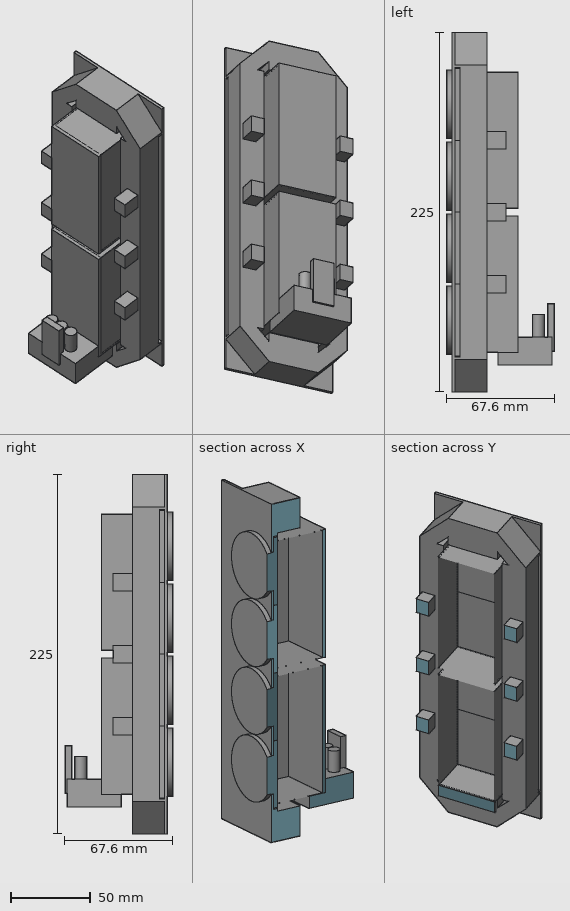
import cadquery as cq

LENGTH = 225.0
WIDTH = 75.0
PLATE_THICK = 2.0
BLOCK_DEPTH = 20.0
CORNER_CUT = 20.2

MODULE_COUNT = 4
MODULE_PITCH = 45.0
BASE_THICK = 3.0
BASE_WIDTH = 43.2
LENS_DIAMETER = 43.0
LENS_PROUD = 3.4

WINDOW_WIDTH = 41.5
SLOT_CLEARANCE = 0.5
SLOT_LENGTH = MODULE_COUNT * MODULE_PITCH + 2 * SLOT_CLEARANCE
POCKET_LENGTH = 184.5
POCKET_HEEL_X = 25.2
POCKET_TIP_X = 17.3
POCKET_TIP_RISE = 7.6

LUG_WIDTH = 9.0
LUG_HEIGHT = 10.8
LUG_DEPTH = 12.0
LUG_SPACING_X = 62.0
LUG_ROWS = 3

DRIVER_WIDTH = 40.0
DRIVER_HEIGHT = 85.3
DRIVER_PITCH = 2 * MODULE_PITCH
DRIVER_PROUD = 19.4
DRIVER_WALL = 0.7
DRIVER_FRONT_WALL = 2.7

CONNECTOR_WIDTH = DRIVER_WIDTH
CONNECTOR_GAP = 6.8
CONNECTOR_DEPTH = 34.0
CONNECTOR_BOTTOM = -95.6
CONNECTOR_HEIGHT = 17.5
WIRE_COUNT = 3
WIRE_DIAMETER = 7.6
WIRE_PITCH = 8.0
WIRE_HEIGHT = 14.2
WIRE_SETBACK = 8.5
TAB_WIDTH = 14.5
TAB_HEIGHT = 30.0
TAB_BOTTOM = -87.0
TAB_THICK = 4.3
TAB_PROUD = 1.4

PLATE_FRONT = -PLATE_THICK
BASE_FRONT = PLATE_FRONT - BASE_THICK
BLOCK_FRONT = PLATE_FRONT - BLOCK_DEPTH
DRIVER_FRONT = BLOCK_FRONT - DRIVER_PROUD
CONNECTOR_BACK = BLOCK_FRONT - CONNECTOR_GAP
CONNECTOR_FRONT = CONNECTOR_BACK - CONNECTOR_DEPTH
LOWER_DRIVER_Z = -DRIVER_PITCH / 2
UPPER_DRIVER_Z = DRIVER_PITCH / 2
MODULE_HEIGHTS = [(i - (MODULE_COUNT - 1) / 2) * MODULE_PITCH for i in range(MODULE_COUNT)]


def slab(width, height, y_back, y_front, x=0.0, z=0.0):
    """Box centred on (x, z), reaching from y_back forwards to y_front."""
    return cq.Workplane("XY").box(width, y_back - y_front, height).translate((x, (y_back + y_front) / 2, z))


def lens(z, y_front):
    """Round lens at height z, from its back face forwards to y_front."""
    disc = cq.Workplane("XZ").circle(LENS_DIAMETER / 2).extrude(LENS_PROUD - y_front)
    return disc.translate((0, LENS_PROUD, z))


def end_pocket():
    """Arrow-shaped pocket at the window's upper end, as deep as the side slot's front face."""
    heel_z = SLOT_LENGTH / 2
    tip_z = heel_z + POCKET_TIP_RISE
    land_z = POCKET_LENGTH / 2
    right_half = [
        (POCKET_TIP_X, land_z),
        (POCKET_TIP_X, tip_z),
        (POCKET_HEEL_X, heel_z),
    ]
    left_half = [(-x, z) for x, z in reversed(right_half)]
    outline = cq.Workplane("XZ").polyline(right_half + left_half).close()
    return outline.extrude(BASE_FRONT - BLOCK_FRONT).translate((0, BASE_FRONT, 0))


def make_housing():
    plate = slab(WIDTH, LENGTH, 0, PLATE_FRONT)
    block = slab(WIDTH, LENGTH, PLATE_FRONT, BLOCK_FRONT).edges("|Y").chamfer(CORNER_CUT)

    window = slab(WINDOW_WIDTH, SLOT_LENGTH, PLATE_FRONT, BLOCK_FRONT)
    side_slot = slab(WIDTH, SLOT_LENGTH, PLATE_FRONT, BASE_FRONT)
    upper_pocket = end_pocket()
    lower_pocket = upper_pocket.mirror("XY")
    block = block.cut(window).cut(side_slot).cut(upper_pocket).cut(lower_pocket)

    housing = plate.union(block)
    for z in MODULE_HEIGHTS:
        housing = housing.cut(lens(z, PLATE_FRONT))
    for side in (-1, 1):
        for row in range(LUG_ROWS):
            x = side * LUG_SPACING_X / 2
            z = (row - (LUG_ROWS - 1) / 2) * MODULE_PITCH
            housing = housing.union(slab(LUG_WIDTH, LUG_HEIGHT, BLOCK_FRONT, BLOCK_FRONT - LUG_DEPTH, x, z))
    return housing


def make_module(z):
    base = slab(BASE_WIDTH, MODULE_PITCH, PLATE_FRONT, BASE_FRONT, z=z)
    return base.union(lens(z, PLATE_FRONT))


def make_driver(z):
    case = slab(DRIVER_WIDTH, DRIVER_HEIGHT, BASE_FRONT, DRIVER_FRONT, z=z)
    cavity_width = DRIVER_WIDTH - 2 * DRIVER_WALL
    cavity_height = DRIVER_HEIGHT - 2 * DRIVER_WALL
    cavity = slab(cavity_width, cavity_height, BASE_FRONT, DRIVER_FRONT + DRIVER_FRONT_WALL, z=z)
    return case.cut(cavity)


def make_connector():
    top = CONNECTOR_BOTTOM + CONNECTOR_HEIGHT
    middle = CONNECTOR_BOTTOM + CONNECTOR_HEIGHT / 2
    body = slab(CONNECTOR_WIDTH, CONNECTOR_HEIGHT, CONNECTOR_BACK, CONNECTOR_FRONT, z=middle)
    driver_space = slab(DRIVER_WIDTH, DRIVER_HEIGHT, BASE_FRONT, DRIVER_FRONT, z=LOWER_DRIVER_Z)
    body = body.cut(driver_space)
    for i in range(WIRE_COUNT):
        x = (i - (WIRE_COUNT - 1) / 2) * WIRE_PITCH
        wire = cq.Workplane("XY").circle(WIRE_DIAMETER / 2).extrude(WIRE_HEIGHT)
        body = body.union(wire.translate((x, CONNECTOR_FRONT + WIRE_SETBACK, top)))
    tab_front = CONNECTOR_FRONT - TAB_PROUD
    tab = slab(TAB_WIDTH, TAB_HEIGHT, tab_front + TAB_THICK, tab_front, z=TAB_BOTTOM + TAB_HEIGHT / 2)
    return body.union(tab)


housing = make_housing()
modules = [make_module(z) for z in MODULE_HEIGHTS]
lower_driver = make_driver(LOWER_DRIVER_Z)
upper_driver = make_driver(UPPER_DRIVER_Z)
connector = make_connector()

result = cq.Compound.makeCompound(
    [
        housing.val(),
        *[module.val() for module in modules],
        lower_driver.val(),
        upper_driver.val(),
        connector.val(),
    ]
)